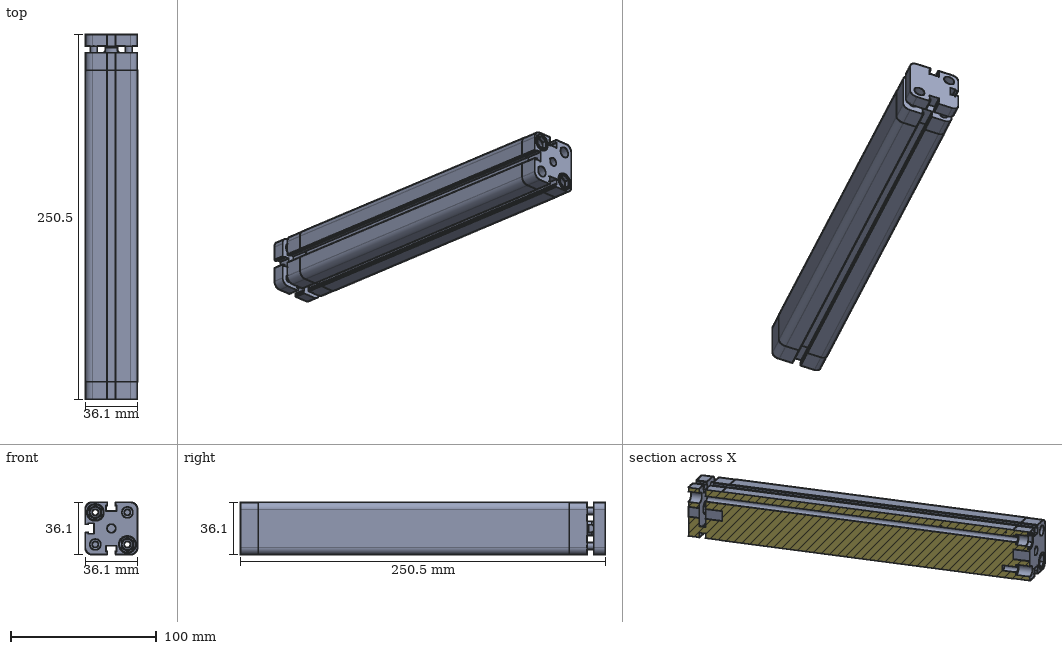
import cadquery as cq
import math

overall_length = 250.5
plate_thickness = 8.0
plate_gap = 4.5
cap_length = 12.2
housing_length = overall_length - plate_thickness - plate_gap
barrel_length = housing_length - 2 * cap_length
closed_end = -overall_length / 2
barrel_start = closed_end + cap_length
barrel_end = barrel_start + barrel_length
housing_end = closed_end + housing_length
plate_start = housing_end + plate_gap

barrel_width = 36.1
cap_width = 35.8
barrel_corner_radius = 5.0

slot_angles = (0, -90, 180)
slot_depth = 6.0
slot_inner_width = 7.0
slot_mouth_width = 5.4
slot_mouth_depth = 2.2
slot_flare = 0.5

piston_diameter = 10.0
piston_across_flats = 8.5
piston_chamfer_radial = 0.4
piston_chamfer_length = 1.2
flat_land = 0.45

guide_diameter = 5.0
guide_offset = 12.0

corner_hole_offset = 11.0
bore_diameter = 7.5
bore_depth = 10.0
core_diameter = 4.13
core_depth = 20.0
centre_hole_diameter = 6.0
centre_hole_depth = 6.0

nut_diameter = 11.1
nut_seat_diameter = 11.7
nut_groove_depth = 1.5
socket_across_flats = 8.0
socket_depth = 3.0

plate_hole_diameter = 7.5

guide_corners = ((-1, -1), (1, 1))
nut_corners = ((-1, 1), (1, -1))


def cylinder(x, z, diameter, start, length):
    """Cylinder along +Y from y = start, centred on (x, z)."""
    base = cq.Vector(x, start, z)
    return cq.Workplane(cq.Solid.makeCylinder(diameter / 2, length, base, cq.Vector(0, 1, 0)))


def t_slot(width, start, length):
    """Cutter for one T-slot in the top face of a bar, with a flared mouth."""
    face = width / 2
    floor = face - slot_depth
    lip = face - slot_mouth_depth
    half_inner = slot_inner_width / 2
    half_mouth = slot_mouth_width / 2
    right_side = [
        (half_inner, floor),
        (half_inner, lip),
        (half_mouth, lip),
        (half_mouth, face - slot_flare),
        (half_mouth + slot_flare, face),
    ]
    left_side = [(-x, z) for x, z in reversed(right_side)]
    outline = cq.Workplane("XZ", origin=(0, start, 0)).polyline(right_side + left_side)
    return outline.close().extrude(-length)


def slotted_bar(width, start, length):
    """Rounded square bar with its T-slots; bars of every width share the same corner centres."""
    radius = barrel_corner_radius - (barrel_width - width) / 2
    bar = cq.Workplane("XZ", origin=(0, start, 0)).rect(width, width).extrude(-length)
    bar = bar.edges("|Y").fillet(radius)
    slot = t_slot(width, start, length)
    for angle in slot_angles:
        bar = bar.cut(slot.rotate((0, 0, 0), (0, 1, 0), angle))
    return bar


def piston_rod():
    """Piston rod across the gap, chamfered at the plate, with flats that run out at 45 degrees."""
    radius = piston_diameter / 2
    half_flats = piston_across_flats / 2
    runout_start = housing_end + flat_land
    runout_end = runout_start + radius - half_flats
    rod = cylinder(0, 0, piston_diameter, housing_end, plate_gap)
    rod = rod.faces(">Y").chamfer(piston_chamfer_length, piston_chamfer_radial)
    flat = (
        cq.Workplane("XY")
        .moveTo(radius, runout_start)
        .lineTo(half_flats, runout_end)
        .lineTo(half_flats, plate_start)
        .lineTo(radius, plate_start)
        .close()
        .extrude(radius, both=True)
    )
    return rod.cut(flat).cut(flat.mirror("YZ"))


def nut_groove(x, z):
    """Thin annular gap between a nut and its seat."""
    seat = cylinder(x, z, nut_seat_diameter, closed_end, nut_groove_depth)
    nut = cylinder(x, z, nut_diameter, closed_end, nut_groove_depth)
    return seat.cut(nut)


def hex_socket(x, z):
    """Hexagonal socket with two of its flats facing +-X."""
    across_corners = socket_across_flats / math.cos(math.pi / 6)
    socket = cq.Workplane("XZ").polygon(6, across_corners).extrude(-socket_depth)
    return socket.rotate((0, 0, 0), (0, 1, 0), 30).translate((x, closed_end, z))


result = slotted_bar(barrel_width, barrel_start, barrel_length)
result = result.union(slotted_bar(cap_width, closed_end, cap_length))
result = result.union(slotted_bar(cap_width, barrel_end, cap_length))
result = result.union(slotted_bar(cap_width, plate_start, plate_thickness))

result = result.union(piston_rod())
for side_x, side_z in guide_corners:
    guide_x = side_x * guide_offset
    guide_z = side_z * guide_offset
    result = result.union(cylinder(guide_x, guide_z, guide_diameter, housing_end, plate_gap))

for side_x, side_z in guide_corners:
    x = side_x * corner_hole_offset
    z = side_z * corner_hole_offset
    result = result.cut(cylinder(x, z, bore_diameter, closed_end, bore_depth))
    result = result.cut(cylinder(x, z, core_diameter, closed_end, core_depth))

for side_x, side_z in nut_corners:
    x = side_x * corner_hole_offset
    z = side_z * corner_hole_offset
    result = result.cut(nut_groove(x, z))
    result = result.cut(hex_socket(x, z))
    result = result.cut(cylinder(x, z, bore_diameter, closed_end, bore_depth))
    result = result.cut(cylinder(x, z, core_diameter, closed_end, housing_length))
    result = result.cut(cylinder(x, z, plate_hole_diameter, plate_start, plate_thickness))

result = result.cut(cylinder(0, 0, centre_hole_diameter, closed_end, centre_hole_depth))